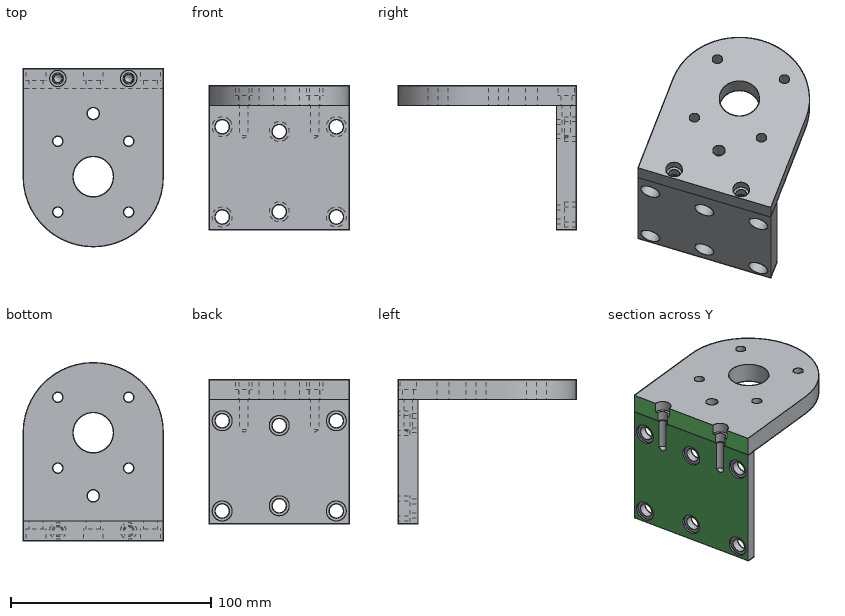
import cadquery as cq
import math

width = 70.0
length = 89.0
height = 72.0
thickness = 10.0
nose_radius = width / 2
back_y = length - nose_radius
upright_height = height - thickness

bore_diameter = 20.0
mount_circle_radius = 25.0
mount_offset = mount_circle_radius / math.sqrt(2)
mount_hole_diameter = 5.0
guide_hole_diameter = 6.0
guide_hole_y = 31.5

screw_x = mount_offset
screw_y = back_y - thickness / 2
counterbore_diameter = 8.2
counterbore_depth = 5.0
clearance_diameter = 5.5
tap_diameter = 4.2
tap_depth = 15.0
drill_point_angle = 118.0

upright_hole_diameter = 7.0
rear_counterbore_diameter = 10.0
rear_counterbore_depth = 6.0
corner_spacing_x = 57.0
corner_spacing_z = 45.0
lower_corner_z = 6.4
centre_spacing_z = 40.05
lower_centre_z = 9.0

screw_points = [(side * screw_x, screw_y) for side in (-1, 1)]


def vertical_holes(points, diameter, bottom_z, depth):
    """Cylinders that rise from bottom_z at the given XY points."""
    return cq.Workplane("XY", origin=(0, 0, bottom_z)).pushPoints(points).circle(diameter / 2).extrude(depth)


def cross_cylinders(points, diameter, depth):
    """Cylinders that run forward from the back face at the given XZ points."""
    return cq.Workplane("XZ", origin=(0, back_y, 0)).pushPoints(points).circle(diameter / 2).extrude(depth)


def make_top_plate():
    """Plate with a semicircular nose, its bores and the counterbored screw holes."""
    plate = (
        cq.Workplane("XY", origin=(0, 0, upright_height))
        .moveTo(-width / 2, back_y)
        .lineTo(-width / 2, 0)
        .threePointArc((0, -nose_radius), (width / 2, 0))
        .lineTo(width / 2, back_y)
        .close()
        .extrude(thickness)
    )
    mount_points = [(x * mount_offset, y * mount_offset) for x in (-1, 1) for y in (-1, 1)]
    through_holes = [
        ([(0, 0)], bore_diameter),
        (mount_points, mount_hole_diameter),
        ([(0, guide_hole_y)], guide_hole_diameter),
        (screw_points, clearance_diameter),
    ]
    for points, diameter in through_holes:
        plate = plate.cut(vertical_holes(points, diameter, upright_height, thickness))
    counterbore_floor = height - counterbore_depth
    return plate.cut(vertical_holes(screw_points, counterbore_diameter, counterbore_floor, counterbore_depth))


def make_tapped_hole(x, y):
    """Blind drilled hole with a conical tip, opening at the top of the upright."""
    radius = tap_diameter / 2
    tip_depth = radius / math.tan(math.radians(drill_point_angle / 2))
    return (
        cq.Workplane("XZ", origin=(x, y, upright_height))
        .polyline([(0, 0), (radius, 0), (radius, -tap_depth), (0, -tap_depth - tip_depth)])
        .close()
        .revolve(360, (0, 0), (0, 1))
    )


def make_upright():
    """Rectangular plate under the back edge, with rear-counterbored cross holes and tapped top holes."""
    upright = cq.Workplane("XY").box(width, thickness, upright_height, centered=(True, False, False))
    upright = upright.translate((0, back_y - thickness, 0))
    cross_points = []
    for row in (0, 1):
        corner_z = lower_corner_z + row * corner_spacing_z
        cross_points += [(side * corner_spacing_x / 2, corner_z) for side in (-1, 1)]
        cross_points.append((0, lower_centre_z + row * centre_spacing_z))
    upright = upright.cut(cross_cylinders(cross_points, upright_hole_diameter, thickness))
    upright = upright.cut(cross_cylinders(cross_points, rear_counterbore_diameter, rear_counterbore_depth))
    for x, y in screw_points:
        upright = upright.cut(make_tapped_hole(x, y))
    return upright


top_plate = make_top_plate()
upright = make_upright()

result = cq.Compound.makeCompound([top_plate.val(), upright.val()])